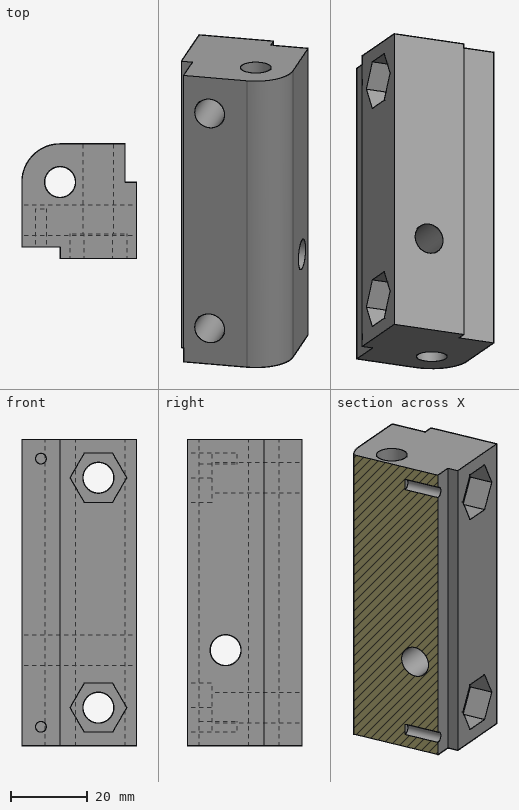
import cadquery as cq

width = 30.0
depth = 30.0
height = 80.0

corner_radius = 10.0
step_length = 10.0
step_depth = 3.0

bore_diameter = 8.0
bore_inset = 10.0
cross_bore_height = 25.0

nut_across_corners = 14.8
nut_pocket_depth = 6.5

pilot_diameter = 2.8
pilot_inset = 5.0
pilot_depth = 10.0


def front_plane(y):
    """Plane facing -Y at the given Y, with local axes along +X and +Z."""
    return cq.Workplane("XZ", origin=(0, y, 0))


def make_body():
    """Extrude the stepped section with its one rounded corner."""
    outline = (
        cq.Workplane("XY")
        .moveTo(0, step_depth)
        .lineTo(step_length, step_depth)
        .lineTo(step_length, 0)
        .lineTo(width, 0)
        .lineTo(width, depth - step_length)
        .lineTo(width - step_depth, depth - step_length)
        .lineTo(width - step_depth, depth)
        .lineTo(corner_radius, depth)
        .radiusArc((0, depth - corner_radius), -corner_radius)
        .close()
    )
    return outline.extrude(height)


def make_vertical_bore():
    """Bore along Z, concentric with the rounded corner."""
    return (
        cq.Workplane("XY")
        .center(bore_inset, depth - bore_inset)
        .circle(bore_diameter / 2)
        .extrude(height)
    )


def make_cross_bore():
    """Bore along X through the lower part of the block."""
    return (
        cq.Workplane("YZ")
        .center(bore_inset, cross_bore_height)
        .circle(bore_diameter / 2)
        .extrude(width)
    )


def make_bolt_hole(z):
    """Bore along Y with a hexagonal nut pocket in the -Y face."""
    x = width - bore_inset
    bore = front_plane(0).center(x, z).circle(bore_diameter / 2).extrude(-depth)
    pocket = front_plane(0).center(x, z).polygon(6, nut_across_corners).extrude(-nut_pocket_depth)
    return bore.union(pocket)


def make_pilot_hole(z):
    """Blind hole along +Y from the floor of the front rebate."""
    return front_plane(step_depth).center(pilot_inset, z).circle(pilot_diameter / 2).extrude(-pilot_depth)


result = make_body().cut(make_vertical_bore()).cut(make_cross_bore())
for bolt_z in (bore_inset, height - bore_inset):
    result = result.cut(make_bolt_hole(bolt_z))
for pilot_z in (pilot_inset, height - pilot_inset):
    result = result.cut(make_pilot_hole(pilot_z))